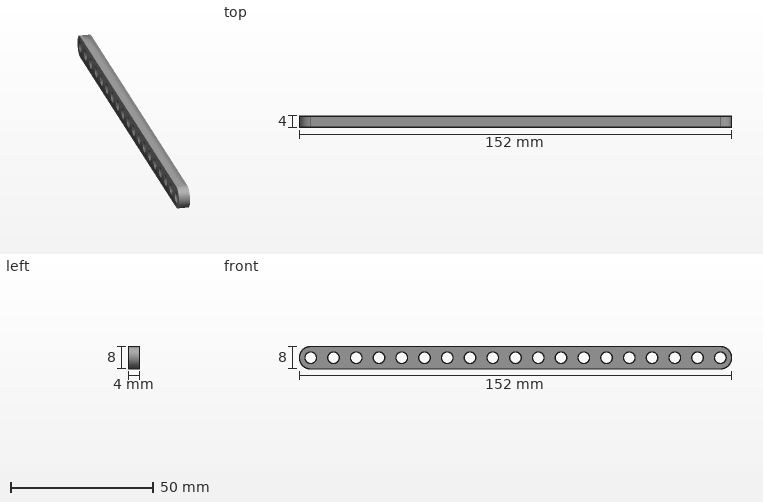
import cadquery as cq

hole_count = 19
hole_pitch = 8.0
hole_diameter = 4.0
bar_height = 8.0
bar_thickness = 4.0

hole_span = (hole_count - 1) * hole_pitch
bar_length = hole_span + bar_height


def front_face_plane():
    """XZ workplane on the -Y side of the bar; extruding by -thickness runs toward +Y."""
    return cq.Workplane("XZ", origin=(0, -bar_thickness / 2, 0))


def make_bar():
    """Bar with full-round ends, centred on the origin."""
    return front_face_plane().slot2D(bar_length, bar_height).extrude(-bar_thickness)


def make_hole_cutters():
    """Row of through-hole cylinders along X; the end ones share the centres of the bar ends."""
    return (
        front_face_plane()
        .rarray(hole_pitch, bar_height, hole_count, 1)
        .circle(hole_diameter / 2)
        .extrude(-bar_thickness)
    )


result = make_bar().cut(make_hole_cutters())